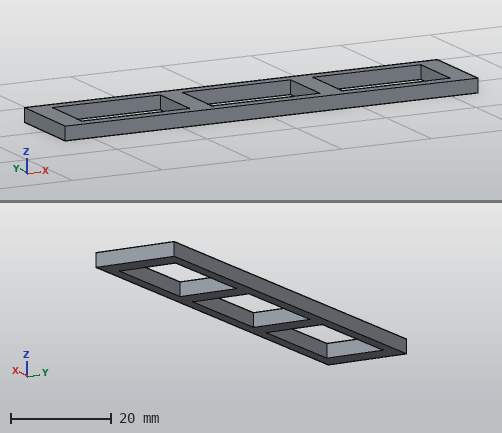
import cadquery as cq

length = 92.0
width = 18.0
thickness = 3.0

window_count = 3
bar_width = 5.0
window_width = 13.0
window_length = (length - (window_count + 1) * bar_width) / window_count
window_pitch = window_length + bar_width

plate = cq.Workplane("XY").box(length, width, thickness)

result = (
    plate.faces(">Z")
    .workplane()
    .rarray(window_pitch, 0.9, window_count, 1)
    .rect(window_length, window_width)
    .cutThruAll()
)